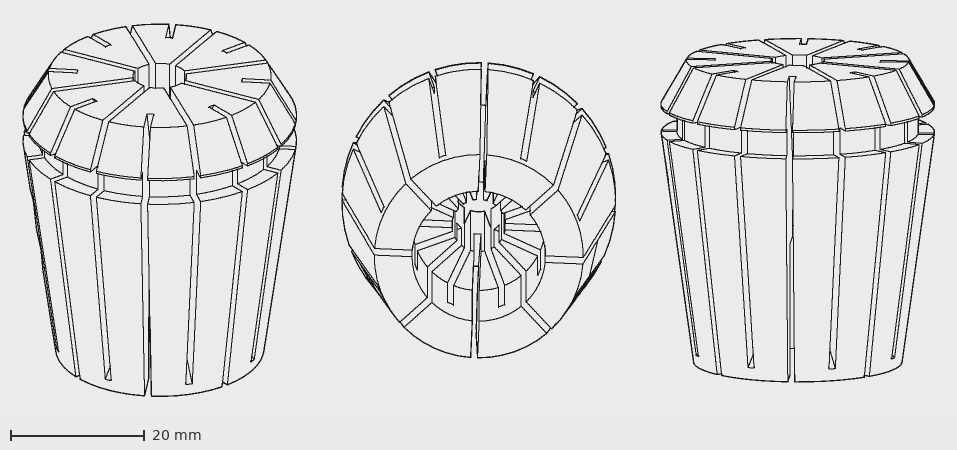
import cadquery as cq
import math

height = 46.0
outer_diameter = 41.0
outer_radius = outer_diameter / 2

body_top = 35.0
body_angle = 7.9
rim_bottom = 39.0
rim_thickness = 0.35
nose_angle = 30.0
groove_radius = 18.1

clamping_bore_radius = 4.0
rear_bore_radius = 10.0
rear_bore_depth = 20.0

slot_width = 1.0
slots_per_set = 8
slot_pitch = 360.0 / slots_per_set
nose_slot_floor_angle = 43.5
nose_slot_exit_height = 1.9
rear_slot_roof_angle = 60.0
rear_slot_exit_radius = 12.4
cut_margin = 2.3

rim_top = rim_bottom + rim_thickness
nose_radius = outer_radius - (height - rim_top) * math.tan(math.radians(nose_angle))
body_slope = math.tan(math.radians(body_angle))
floor_slope = math.tan(math.radians(nose_slot_floor_angle))
roof_slope = math.tan(math.radians(rear_slot_roof_angle))
base_radius = outer_radius - body_top * body_slope
cut_radius = outer_radius + cut_margin
cut_top = height + cut_margin


def make_body():
    """Double taper with a groove below the nose rim, revolved about Z."""
    half_profile = [
        (0, 0),
        (base_radius, 0),
        (outer_radius, body_top),
        (groove_radius, body_top),
        (groove_radius, rim_bottom),
        (outer_radius, rim_bottom),
        (outer_radius, rim_top),
        (nose_radius, height),
        (0, height),
    ]
    return cq.Workplane("XZ").polyline(half_profile).close().revolve(360, (0, 0), (0, 1))


def make_bores():
    """Clamping bore right through, widened from the rear end."""
    clamping_bore = cq.Workplane("XY").circle(clamping_bore_radius).extrude(height)
    rear_bore = cq.Workplane("XY").circle(rear_bore_radius).extrude(rear_bore_depth)
    return clamping_bore.union(rear_bore)


def slot_cutter(radial_profile):
    """Upright plate of slot width along +X, outlined by (radius, height) points."""
    return cq.Workplane("XZ").polyline(radial_profile).close().extrude(slot_width / 2, both=True)


def cut_slot_set(part, cutter, first_angle):
    """Cut one evenly spaced ring of slots."""
    for index in range(slots_per_set):
        angle = first_angle + index * slot_pitch
        part = part.cut(cutter.rotate((0, 0, 0), (0, 0, 1), angle))
    return part


def nose_slot_cutter():
    """Slot open at the nose, with a floor that falls from the bores out to the taper."""
    exit_radius = base_radius + nose_slot_exit_height * body_slope
    axis_floor = nose_slot_exit_height + exit_radius * floor_slope
    outer_floor = nose_slot_exit_height - (cut_radius - exit_radius) * floor_slope
    return slot_cutter([
        (0, axis_floor),
        (cut_radius, outer_floor),
        (cut_radius, cut_top),
        (0, cut_top),
    ])


def rear_slot_cutter():
    """Slot open at the rear, with a roof that rises from the bores out to the nose face."""
    axis_roof = height - rear_slot_exit_radius * roof_slope
    outer_roof = height + (cut_radius - rear_slot_exit_radius) * roof_slope
    return slot_cutter([
        (0, -cut_margin),
        (cut_radius, -cut_margin),
        (cut_radius, outer_roof),
        (0, axis_roof),
    ])


collet = make_body().cut(make_bores())
collet = cut_slot_set(collet, nose_slot_cutter(), 0)
result = cut_slot_set(collet, rear_slot_cutter(), slot_pitch / 2)